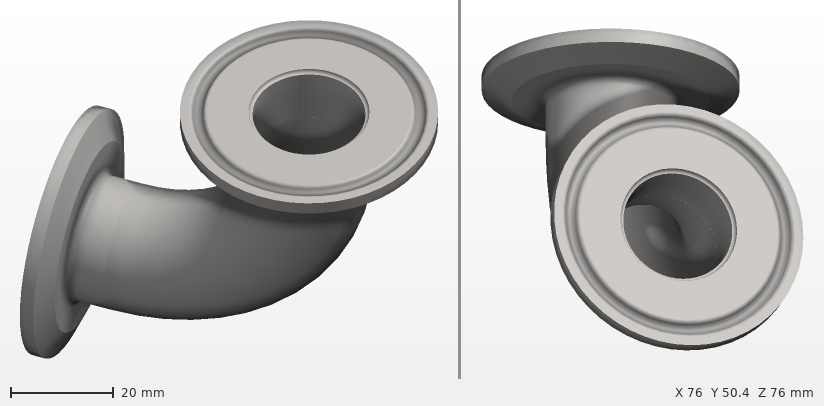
import cadquery as cq
import math


overall_length = 76.0
flange_diameter = 50.4
flange_radius = flange_diameter / 2
ferrule_length = 12.7
bend_radius = overall_length - flange_radius - ferrule_length

tube_outer_radius = 12.7
tube_bore_radius = 11.0

rim_thickness = 2.8
flange_thickness = 5.1
flange_back_radius = 19.3
neck_fillet = 1.45
bore_edge_round = 0.75

groove_center_radius = 21.7
groove_half_width = 1.8
groove_bottom_round = 1.15
groove_edge_round = 0.8


def ferrule_profile():
    """Half section of a ferrule: x is the radius, y the distance behind its sealing face."""
    return (
        cq.Workplane("XY")
        .moveTo(tube_bore_radius + bore_edge_round, 0)
        .lineTo(flange_radius, 0)
        .lineTo(flange_radius, rim_thickness)
        .lineTo(flange_back_radius, flange_thickness)
        .lineTo(tube_outer_radius + neck_fillet, flange_thickness)
        .radiusArc((tube_outer_radius, flange_thickness + neck_fillet), neck_fillet)
        .lineTo(tube_outer_radius, ferrule_length)
        .lineTo(tube_bore_radius, ferrule_length)
        .lineTo(tube_bore_radius, bore_edge_round)
        .radiusArc((tube_bore_radius + bore_edge_round, 0), bore_edge_round)
        .close()
    )


def groove_profile():
    """Section of the gasket groove: three tangent arcs closed along the sealing face."""
    round_sum = groove_bottom_round + groove_edge_round
    tangent_angle = math.asin(groove_half_width / round_sum)
    depth = round_sum * (1 - math.cos(tangent_angle))
    tangent_offset = groove_bottom_round * math.sin(tangent_angle)
    tangent_depth = groove_edge_round * (1 - math.cos(tangent_angle))

    half_angle = tangent_angle / 2
    edge_mid_offset = groove_half_width - groove_edge_round * math.sin(half_angle)
    edge_mid_depth = groove_edge_round * (1 - math.cos(half_angle))
    center = groove_center_radius
    return (
        cq.Workplane("XY")
        .moveTo(center - groove_half_width, 0)
        .threePointArc((center - edge_mid_offset, edge_mid_depth), (center - tangent_offset, tangent_depth))
        .threePointArc((center, depth), (center + tangent_offset, tangent_depth))
        .threePointArc((center + edge_mid_offset, edge_mid_depth), (center + groove_half_width, 0))
        .close()
    )


def revolve_about_y(profile):
    return profile.revolve(360, (0, 0, 0), (0, 1, 0))


def make_ferrule():
    """Clamp ferrule with its sealing face at the origin and its neck along +Y."""
    return revolve_about_y(ferrule_profile()).cut(revolve_about_y(groove_profile()))


def make_elbow():
    """Quarter-turn tube from the -X ferrule to the +Z ferrule."""
    inlet = (ferrule_length, 0, 0)
    return (
        cq.Workplane("YZ", origin=inlet)
        .circle(tube_outer_radius)
        .circle(tube_bore_radius)
        .revolve(90, (0, bend_radius), (-1, bend_radius))
    )


elbow = make_elbow()

axis_reach = ferrule_length + bend_radius
ferrule_placements = [
    ((0, 0, 1), -90, (0, 0, 0)),
    ((1, 0, 0), -90, (axis_reach, 0, axis_reach)),
]
ferrules = []
for turn_axis, turn_angle, face_center in ferrule_placements:
    ferrule = make_ferrule().rotate((0, 0, 0), turn_axis, turn_angle).translate(face_center)
    ferrules.append(ferrule.val())

result = cq.Compound.makeCompound([elbow.val(), *ferrules])